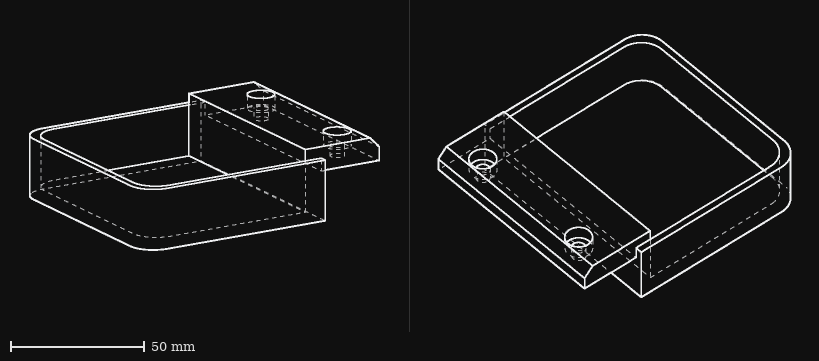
import cadquery as cq

tray_width = 90.0
tray_length = 79.5
pocket_depth = 20.0
wall = 3.0
floor_thickness = 3.8
tray_height = floor_thickness + pocket_depth
back_wall = 7.0
pocket_width = tray_width - 2 * wall
back_wall_front = tray_length - back_wall
corner_radius = 10.0

flange_overhang = 25.5
flange_thickness = 9.5
flange_rise = 4.5
flange_chamfer = 4.0
flange_width = pocket_width
total_height = tray_height + flange_rise
flange_back = tray_length + flange_overhang
flange_length = flange_overhang + back_wall

hole_diameter = 5.5
bore_diameter = 10.5
bore_depth = 5.5
hole_spacing = 55.0
hole_offset = 0.5
hole_from_back = 10.0


def rounded_front_prism(width, front, back, bottom, top, radius):
    """Box centred on X whose two vertical front edges are rounded."""
    return (
        cq.Workplane("XY")
        .box(width, back - front, top - bottom, centered=(True, False, False))
        .edges("|Z and <Y")
        .fillet(radius)
        .translate((0, front, bottom))
    )


def make_tray():
    """Open tray with thin side and front walls and a thick back wall."""
    body = rounded_front_prism(tray_width, 0, tray_length, 0, tray_height, corner_radius)
    pocket = rounded_front_prism(
        pocket_width, wall, back_wall_front, floor_thickness, tray_height, corner_radius
    )
    return body.cut(pocket)


def make_flange():
    """Plate over the back wall, overhanging the tray, with its top back edge chamfered."""
    return (
        cq.Workplane("XY")
        .box(flange_width, flange_length, flange_thickness, centered=(True, False, False))
        .edges(">Y and >Z")
        .chamfer(flange_chamfer)
        .translate((0, back_wall_front, total_height - flange_thickness))
    )


def cut_screw_holes(body):
    """Two vertical holes through the flange, counterbored from above."""
    hole_y = flange_back - hole_from_back
    pair_centre = cq.Workplane("XY", origin=(hole_offset, hole_y, total_height))
    return (
        body.copyWorkplane(pair_centre)
        .pushPoints([(-hole_spacing / 2, 0), (hole_spacing / 2, 0)])
        .cboreHole(hole_diameter, bore_diameter, bore_depth, flange_thickness)
    )


result = cut_screw_holes(make_tray().union(make_flange()))